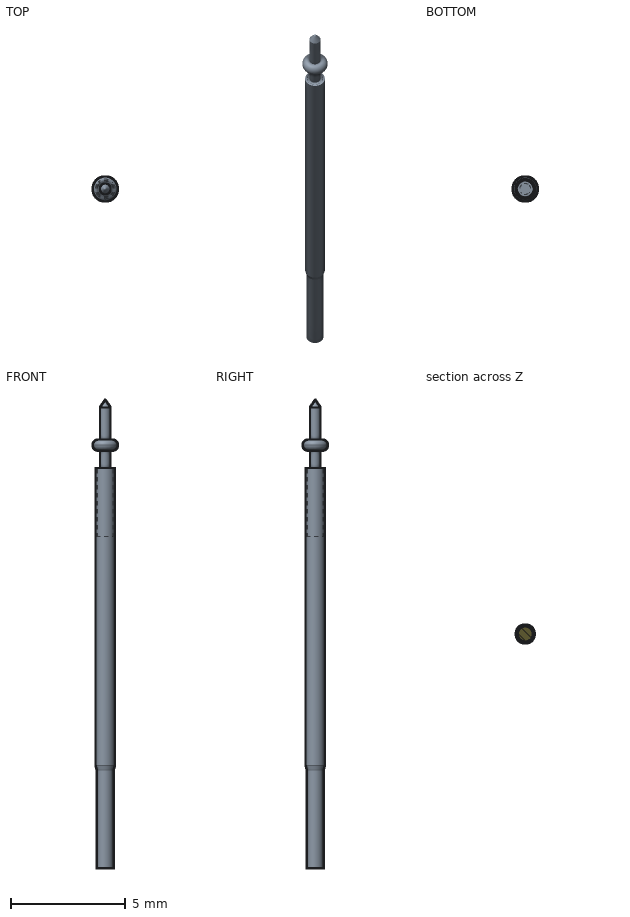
import cadquery as cq

tail_top = 4.30
sleeve_bottom = 4.50
barrel_top = 17.50
collar_middle = 18.50
tip_base = 20.15
tip_top = 20.49

sleeve_diameter = 0.86
tail_diameter = 0.75
bore_diameter = 0.70
plunger_diameter = 0.68
pin_diameter = 0.48
collar_diameter = 1.11
collar_thickness = 0.50

plunger_length = 3.0
bore_floor = barrel_top - plunger_length


def make_barrel():
    """Stepped barrel: slim tail, tapered step, round sleeve and a blind bore from the top."""
    tail_radius = tail_diameter / 2
    sleeve_radius = sleeve_diameter / 2
    bore_radius = bore_diameter / 2
    return (
        cq.Workplane("XZ")
        .lineTo(tail_radius, 0)
        .lineTo(tail_radius, tail_top)
        .lineTo(sleeve_radius, sleeve_bottom)
        .lineTo(sleeve_radius, barrel_top)
        .lineTo(bore_radius, barrel_top)
        .lineTo(bore_radius, bore_floor)
        .lineTo(0, bore_floor)
        .close()
        .revolve(360, (0, 0, 0), (0, 1, 0))
    )


def make_pin():
    """Pin with a thick plunger in the bore, a slim pointed shaft and a ring-shaped collar."""
    pin_radius = pin_diameter / 2
    plunger_radius = plunger_diameter / 2
    shaft = (
        cq.Workplane("XZ")
        .moveTo(0, bore_floor)
        .lineTo(plunger_radius, bore_floor)
        .lineTo(plunger_radius, barrel_top)
        .lineTo(pin_radius, barrel_top)
        .lineTo(pin_radius, tip_base)
        .lineTo(0, tip_top)
        .close()
        .revolve(360, (0, 0, 0), (0, 1, 0))
    )
    tube_radius = collar_thickness / 2
    ring_radius = collar_diameter / 2 - tube_radius
    collar = cq.Solid.makeTorus(ring_radius, tube_radius, cq.Vector(0, 0, collar_middle))
    return shaft.union(cq.Workplane(collar))


barrel = make_barrel()
pin = make_pin()

result = cq.Compound.makeCompound([barrel.val(), pin.val()])